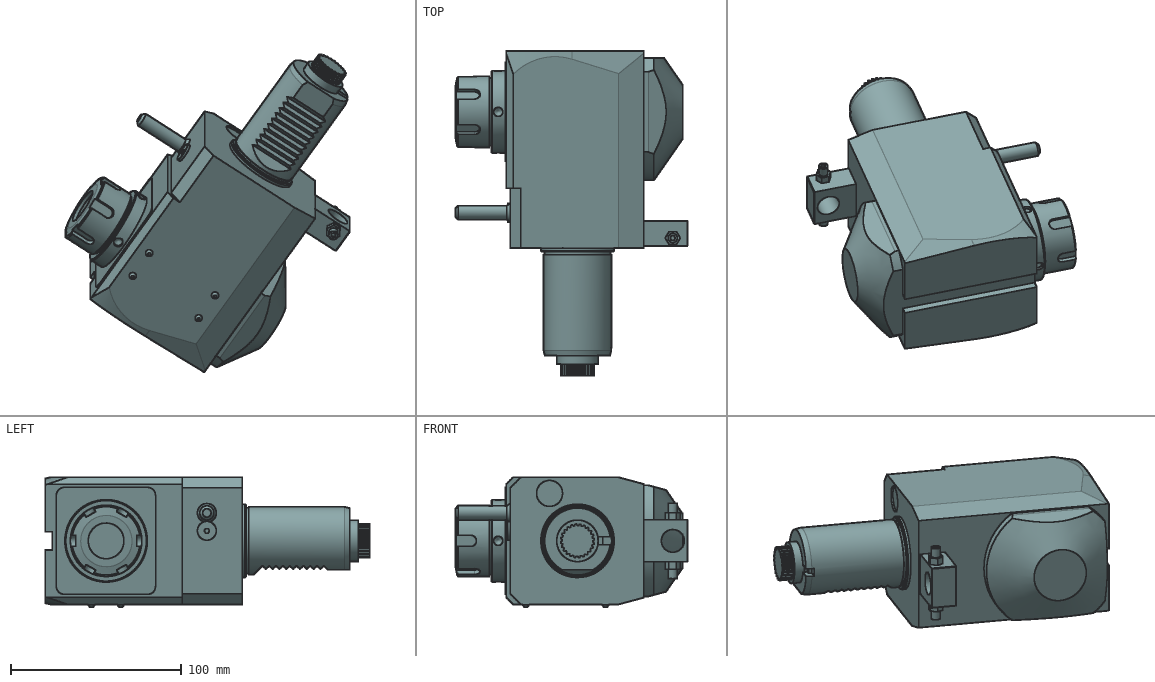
import cadquery as cq
import math


half_height = 37.5
body_back = 116.0
body_right = 39.0
front_left = -39.5
front_chamfer = 6.3
rear_left = -42.0
rear_start = 35.1
rear_chamfer = 4.2
side_bevel_width = 14.9
side_bevel_drop = 4.0
side_bevel_slope = side_bevel_drop / side_bevel_width

crest_x = -13.4
crest_y = 112.7
crest_radius = 34.2
crest_arc_start = 60
crest_line_slope = 0.31
end_slope = 0.24

back_slot_width = 10.5
back_slot_depth = 4.2
mark_x = -16.5
mark_z = 27.9
mark_radius = 7.6
mark_depth = 1.1

spindle_y = 80.0
plate_start = 51.0
plate_end = 109.3
plate_height = 62.8
plate_thickness = 0.5
plate_corner = 4.5
plate_face = rear_left - plate_thickness
ring_radius = 24.3
ring_face = -50.6
ring_edge = 0.5
ring_hole_radius = 2.7
ring_hole_depth = 2.0
ring_hole_point = 1.5
ring_hole_count = 4
neck_radius = 20.0
nut_back = -51.8
nut_radius = 21.0
nut_face = -71.8
nut_shoulder_radius = 20.0
nut_shoulder_x = -70.9
nut_edge_x = -70.1
nut_face_radius = 15.0
nut_bore_radius = 10.5
nut_bore_depth = 2.3
nut_slot_angles = (60, 120, 240, 300)
nut_side_slot_angles = (0, 180)
nut_slot_width = 6.5
nut_slot_end = -57.3
nut_side_slot_end = -59.4
nut_slot_floor = 18.0

cover_radius = 40.3
cover_end_radius = 15.9
cover_cone_start = 44.9
cover_end = 61.9
cover_flat_end = 41.5
cover_back = body_back - back_slot_depth

shank_radius = 20.0
shank_end = -63.2
shank_tip_radius = 19.3
shank_taper_start = -60.0
flange_radius = 21.5
flange_thickness = 2.3
flange_edge = 0.8
relief_radius = 19.5
relief_end = -3.8
rack_land = -17.0
rack_root = -14.7
rack_tip = -16.6
rack_pitch = 4.0
rack_first_root = -11.8
rack_root_count = 10
key_half_width = 2.3
key_inner = 11.8
key_step = 14.7
key_depth = 4.8
key_step_depth = 2.9

hub_radius = 12.2
hub_end = -68.2
spline_end = -75.0
spline_tip_radius = 10.0
spline_root_radius = 9.0
spline_teeth = 24

pin_y = 20.8
pin_z = 16.5
pin_radius = 4.2
pin_end = -71.8
pin_tip_chamfer = 1.7
pin_collar_radius = 5.5
pin_collar_height = 2.1
plug_z = 6.0
plug_radius = 5.5
plug_height = 1.5
plug_socket = 3.0
plug_socket_depth = 2.3

block_end = 64.7
block_front = 1.1
block_back = 16.0
block_half_height = 12.5
block_edge = 0.4
nozzle_x = 56.0
nozzle_y = 6.0
block_bore_radius = 6.7
nozzle_nut_top = 16.6
nozzle_nut_size = 8.8
nozzle_top = 22.2
nozzle_radius = 2.7
nozzle_socket = 3.0
nozzle_socket_depth = 2.0

foot_x = (-30.4, 16.5)
foot_offset_y = 8.5
foot_radius = 2.1
foot_tip_radius = 0.8
foot_height = 1.7

overlap = 1.0


def box(x_range, y_range, z_range):
    size = [high - low for low, high in (x_range, y_range, z_range)]
    corner = (x_range[0], y_range[0], z_range[0])
    return cq.Workplane("XY").box(*size, centered=False).translate(corner)


def turned_x(points, y, z):
    """Solid of revolution about an axis along X; points are (x, radius)."""
    profile = cq.Workplane("XY", origin=(0, y, z)).polyline(points).close()
    return profile.revolve(360, (0, 0), (1, 0))


def turned_y(points):
    """Solid of revolution about the shank axis; points are (radius, y)."""
    return cq.Workplane("XY").polyline(points).close().revolve(360, (0, 0), (0, 1))


def cylinder_z(radius, x, y, bottom, top):
    return cq.Workplane("XY", origin=(x, y, bottom)).circle(radius).extrude(top - bottom)


def housing_section(left, chamfer, start, end):
    """Length of the housing with a chamfered left side and a bevelled right side."""
    bevel_x = body_right - side_bevel_width
    bevel_z = half_height - side_bevel_drop
    upper = [
        (left, half_height - chamfer),
        (left + chamfer, half_height),
        (bevel_x, half_height),
        (body_right, bevel_z),
    ]
    lower = [(x, -z) for x, z in reversed(upper)]
    profile = cq.Workplane("XZ", origin=(0, start, 0)).polyline(upper + lower).close()
    return profile.extrude(start - end)


def sloping_end():
    """Space below the sloping end surface, mirrored about Z = 0."""
    margin = 19.1
    west = rear_left - margin
    east = body_right + margin
    far_front = -half_height / end_slope - margin
    line_angle = math.atan(crest_line_slope)
    center_y = crest_y - crest_radius
    start_angle = math.radians(crest_arc_start)
    arc_start_x = crest_x - crest_radius * math.sin(start_angle)
    arc_start_y = center_y + crest_radius * math.cos(start_angle)
    tangent_x = crest_x + crest_radius * math.sin(line_angle)
    tangent_y = center_y + crest_radius * math.cos(line_angle)
    outline = (
        cq.Workplane("XY", origin=(0, 0, half_height))
        .moveTo(west, far_front)
        .lineTo(west, arc_start_y)
        .lineTo(arc_start_x, arc_start_y)
        .threePointArc((crest_x, crest_y), (tangent_x, tangent_y))
        .lineTo(east, tangent_y - (east - tangent_x) * crest_line_slope)
        .lineTo(east, far_front)
        .close()
    )
    slant = cq.Vector(0, half_height / end_slope, -half_height)
    upper = cq.Workplane(cq.Solid.extrudeLinear(outline.val(), [], slant))
    return upper.union(upper.mirror("XY"))


def housing():
    body = housing_section(front_left, front_chamfer, 0, rear_start)
    body = body.union(housing_section(rear_left, rear_chamfer, rear_start, body_back))
    body = body.intersect(sloping_end())
    slot = box(
        (rear_left, body_right),
        (body_back - back_slot_depth, body_back),
        (-back_slot_width / 2, back_slot_width / 2),
    )
    mark = cq.Workplane("XZ").center(mark_x, mark_z).circle(mark_radius).extrude(-mark_depth)
    return body.cut(slot).cut(mark)


def spindle_plate():
    plate = box(
        (plate_face, rear_left + overlap),
        (plate_start, plate_end),
        (-plate_height / 2, plate_height / 2),
    )
    return plate.edges("|X").fillet(plate_corner)


def spindle_ring():
    ring = turned_x(
        [
            (rear_left, 0),
            (rear_left, ring_radius),
            (ring_face + ring_edge, ring_radius),
            (ring_face, ring_radius - ring_edge),
            (ring_face, neck_radius),
            (nut_back - overlap, neck_radius),
            (nut_back - overlap, 0),
        ],
        spindle_y,
        0,
    )
    hole_x = (ring_face + plate_face) / 2
    hole_bottom = ring_radius - ring_hole_depth
    hole = cylinder_z(ring_hole_radius, hole_x, spindle_y, hole_bottom, ring_radius + overlap)
    point = cq.Solid.makeCone(
        0,
        ring_hole_radius,
        ring_hole_point,
        pnt=cq.Vector(hole_x, spindle_y, hole_bottom - ring_hole_point),
    )
    hole = hole.union(cq.Workplane(point))
    for i in range(ring_hole_count):
        angle = i * 360 / ring_hole_count
        ring = ring.cut(hole.rotate((0, spindle_y, 0), (1, spindle_y, 0), angle))
    return ring


def nut_slot(end, angle):
    """Flat-bottomed wrench slot with a round end, open at the face of the nut."""
    round_x = end - nut_slot_width / 2
    straight_length = round_x - nut_face + overlap
    bottom = cq.Workplane("XY", origin=(round_x, spindle_y, nut_slot_floor))
    slot = bottom.circle(nut_slot_width / 2).extrude(nut_radius)
    straight = bottom.center(-straight_length / 2, 0).rect(straight_length, nut_slot_width)
    slot = slot.union(straight.extrude(nut_radius))
    return slot.rotate((0, spindle_y, 0), (1, spindle_y, 0), angle - 90)


def collet_nut():
    nut = turned_x(
        [
            (nut_back, 0),
            (nut_back, nut_radius),
            (nut_edge_x, nut_radius),
            (nut_shoulder_x, nut_shoulder_radius),
            (nut_face, nut_face_radius),
            (nut_face, nut_bore_radius),
            (nut_face + nut_bore_depth, nut_bore_radius),
            (nut_face + nut_bore_depth, 0),
        ],
        spindle_y,
        0,
    )
    for angle in nut_slot_angles:
        nut = nut.cut(nut_slot(nut_slot_end, angle))
    for angle in nut_side_slot_angles:
        nut = nut.cut(nut_slot(nut_side_slot_end, angle))
    return nut


def rear_cover():
    """Turned cover, trimmed by planes that carry on the bevels of the housing."""
    base = body_right - overlap
    cover = turned_x(
        [
            (base, 0),
            (base, cover_radius),
            (cover_cone_start, cover_radius),
            (cover_end, cover_end_radius),
            (cover_end, 0),
        ],
        spindle_y,
        0,
    )
    bevel_z = half_height - side_bevel_drop
    flat_z = bevel_z - (cover_flat_end - body_right) * side_bevel_slope
    end_z = bevel_z - (cover_end - body_right) * side_bevel_slope
    upper = [(base, flat_z), (cover_flat_end, flat_z), (cover_end, end_z)]
    lower = [(x, -z) for x, z in reversed(upper)]
    trim = cq.Workplane("XZ", origin=(0, cover_back, 0)).polyline(upper + lower).close()
    return cover.intersect(trim.extrude(cover_back))


def rack_cutter():
    """Everything below the toothed flat of the shank."""
    below = -flange_radius - overlap
    outline = [(rack_first_root + rack_root - below, below)]
    for i in range(rack_root_count):
        root_y = rack_first_root - i * rack_pitch
        if i > 0:
            outline.append((root_y + rack_pitch / 2, rack_tip))
        outline.append((root_y, rack_root))
    outline.append((root_y + rack_land - rack_root, rack_land))
    outline.append((shank_end - overlap, rack_land))
    outline.append((shank_end - overlap, below))
    return cq.Workplane("YZ").polyline(outline).close().extrude(shank_radius, both=True)


def shank():
    body = turned_y(
        [
            (0, overlap),
            (flange_radius, overlap),
            (flange_radius, flange_edge - flange_thickness),
            (flange_radius - flange_edge, -flange_thickness),
            (relief_radius, -flange_thickness),
            (relief_radius, relief_end),
            (shank_radius, relief_end),
            (shank_radius, shank_taper_start),
            (shank_tip_radius, shank_end),
            (0, shank_end),
        ]
    )
    key_width = (-key_half_width, key_half_width)
    key_slot = box((key_step, shank_radius + overlap), (shank_end, shank_end + key_depth), key_width)
    key_ledge = box((key_inner, key_step), (shank_end, shank_end + key_step_depth), key_width)
    return body.cut(rack_cutter()).cut(key_slot).cut(key_ledge)


def drive_end():
    hub = cq.Workplane("XZ", origin=(0, shank_end + overlap, 0)).circle(hub_radius)
    hub = hub.extrude(shank_end + overlap - hub_end)
    tooth_angle = 2 * math.pi / spline_teeth
    outline = []
    for i in range(spline_teeth):
        for quarter, radius in enumerate(
            (spline_root_radius, spline_tip_radius, spline_tip_radius, spline_root_radius)
        ):
            angle = (i + quarter / 4) * tooth_angle
            outline.append((radius * math.cos(angle), radius * math.sin(angle)))
    spline = cq.Workplane("XZ", origin=(0, hub_end + overlap, 0)).polyline(outline).close()
    return hub.union(spline.extrude(hub_end + overlap - spline_end))


def locating_pin():
    base = front_left + overlap
    return turned_x(
        [
            (base, 0),
            (base, pin_collar_radius),
            (front_left, pin_collar_radius),
            (front_left - pin_collar_height, pin_radius),
            (pin_end + pin_tip_chamfer, pin_radius),
            (pin_end, pin_radius - pin_tip_chamfer),
            (pin_end, 0),
        ],
        pin_y,
        pin_z,
    )


def plug():
    """Flat round plug with a hexagon socket."""
    face_x = front_left - plug_height
    face = cq.Workplane("YZ", origin=(face_x, pin_y, plug_z))
    disc = face.circle(plug_radius).extrude(plug_height + overlap)
    return disc.cut(face.polygon(6, plug_socket).extrude(plug_socket_depth))


def coolant_nozzle():
    nut = cq.Workplane("XY", origin=(nozzle_x, nozzle_y, block_half_height - overlap))
    nut = nut.polygon(6, nozzle_nut_size).extrude(nozzle_nut_top - block_half_height + overlap)
    stem = cylinder_z(nozzle_radius, nozzle_x, nozzle_y, block_half_height, nozzle_top)
    socket = cq.Workplane("XY", origin=(nozzle_x, nozzle_y, nozzle_top)).polygon(6, nozzle_socket)
    return nut.union(stem).cut(socket.extrude(-nozzle_socket_depth))


def coolant_block():
    block = box(
        (body_right - overlap, block_end),
        (block_front, block_back),
        (-block_half_height, block_half_height),
    )
    block = block.faces(">X").edges().chamfer(block_edge)
    bore = cq.Workplane("XZ").center(nozzle_x, 0).circle(block_bore_radius).extrude(-block_back)
    nozzle = coolant_nozzle()
    return block.cut(bore).union(nozzle).union(nozzle.mirror("XY"))


def screw_heads():
    heads = cq.Workplane("XY")
    for x in foot_x:
        for side in (-1, 1):
            y = spindle_y + side * foot_offset_y
            start = cq.Workplane("XY", origin=(x, y, -half_height)).circle(foot_radius)
            head = start.workplane(offset=-foot_height).circle(foot_tip_radius).loft()
            root = cylinder_z(foot_radius, x, y, -half_height, -half_height + overlap)
            heads = heads.add(head.union(root))
    return heads.combine()


result = (
    housing()
    .union(spindle_plate())
    .union(spindle_ring())
    .union(collet_nut())
    .union(rear_cover())
    .union(shank())
    .union(drive_end())
    .union(locating_pin())
    .union(plug())
    .union(coolant_block())
    .union(screw_heads())
)